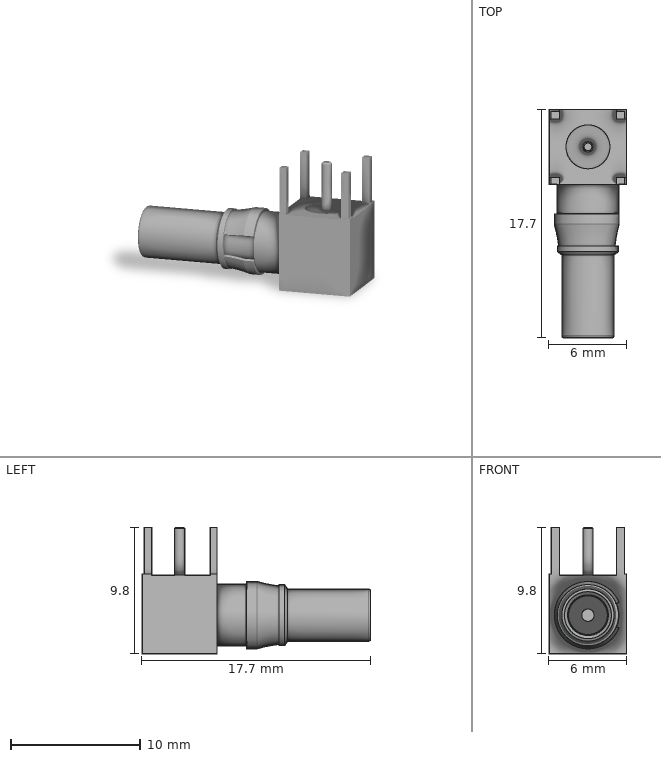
import cadquery as cq
import math


body_width = 6.0
body_depth = 5.8
body_height = 6.1
overall_height = 9.8
front_y = -body_depth / 2
top_recess_diameter = 3.4
top_recess_depth = 0.1

pad_height = 0.1
post_width = 0.65
post_side_inset = 0.15
rear_post_depth = 0.6
rear_post_inset = 0.15
front_post_depth = 0.53

board_pin_diameter = 0.8
board_pin_chamfer = 0.1

barrel_axis_z = 3.0
barrel_length = 11.9
neck_radius = 4.8 / 2
neck_end = 2.25
tube_radius = 4.05 / 2
collar_radius = 4.74 / 2
collar_start = 4.8
collar_width = 0.42
collar_chamfer_width = 0.25
rim_fillet = 0.18

sleeve_gap = 0.04
sleeve_start = neck_end + sleeve_gap
sleeve_straight = 0.8
sleeve_outer_radius = 5.22 / 2
sleeve_inner_radius = collar_radius
sleeve_tip_radius = 2.27
sleeve_sag = 0.04
sleeve_slot_angle = 45.0

mouth_radius = 1.82
step_radius = 1.58
step_depth = 0.35
bore_radius = 3.0 / 2
taper_end_depth = 0.68
bore_depth = 6.4
contact_radius = 0.96 / 2
contact_recess = 1.15


def box(x_min, x_max, y_min, y_max, z_min, z_max):
    """Axis-aligned block between the given limits."""
    size = (x_max - x_min, y_max - y_min, z_max - z_min)
    return cq.Workplane("XY").box(*size, centered=False).translate((x_min, y_min, z_min))


def revolve_on_barrel(profile):
    """Turn a (radius, distance) profile about the barrel axis, ahead of the front face."""
    turned = profile.close().revolve(360, (0, 0), (0, 1))
    return turned.rotate((0, 0, 0), (0, 0, 1), 180).translate((0, front_y, barrel_axis_z))


def make_body():
    half_width = body_width / 2
    body = box(-half_width, half_width, front_y, -front_y, 0, body_height)
    recess = cq.Workplane("XY", origin=(0, 0, body_height - top_recess_depth))
    return body.cut(recess.circle(top_recess_diameter / 2).extrude(top_recess_depth))


def make_corner_posts():
    half_width = body_width / 2
    post_outer_x = half_width - post_side_inset
    post_inner_x = post_outer_x - post_width
    rear_y = -front_y
    rear_post_y = rear_y - rear_post_inset
    pad_top = body_height + pad_height

    rear_inner_y = rear_post_y - rear_post_depth
    front_inner_y = front_y + front_post_depth
    right_side = box(post_inner_x, half_width, rear_inner_y, rear_y, body_height, pad_top)
    right_side = right_side.union(
        box(post_inner_x, post_outer_x, rear_inner_y, rear_post_y, body_height, overall_height)
    )
    right_side = right_side.union(
        box(post_inner_x, half_width, front_y, front_inner_y, body_height, pad_top)
    )
    right_side = right_side.union(
        box(post_inner_x, post_outer_x, front_y, front_inner_y, body_height, overall_height)
    )
    return right_side.union(right_side.mirror("YZ"))


def make_board_pin():
    foot_z = body_height - top_recess_depth
    pin = cq.Workplane("XY", origin=(0, 0, foot_z)).circle(board_pin_diameter / 2)
    return pin.extrude(overall_height - foot_z).faces(">Z").chamfer(board_pin_chamfer)


def make_barrel():
    collar_end = collar_start + collar_width
    fillet_mid = rim_fillet * (1 - math.sqrt(0.5))
    profile = (
        cq.Workplane("XY")
        .lineTo(neck_radius, 0)
        .lineTo(neck_radius, neck_end)
        .lineTo(tube_radius, neck_end)
        .lineTo(tube_radius, collar_start)
        .lineTo(collar_radius, collar_start)
        .lineTo(collar_radius, collar_end)
        .lineTo(tube_radius, collar_end + collar_chamfer_width)
        .lineTo(tube_radius, barrel_length - rim_fillet)
        .threePointArc(
            (tube_radius - fillet_mid, barrel_length - fillet_mid),
            (tube_radius - rim_fillet, barrel_length),
        )
        .lineTo(0, barrel_length)
    )
    return revolve_on_barrel(profile)


def make_socket():
    """Space inside the barrel around the centre contact."""
    floor = barrel_length - bore_depth
    profile = (
        cq.Workplane("XY")
        .moveTo(contact_radius, floor)
        .lineTo(bore_radius, floor)
        .lineTo(bore_radius, barrel_length - taper_end_depth)
        .lineTo(step_radius, barrel_length - step_depth)
        .lineTo(mouth_radius, barrel_length)
        .lineTo(0, barrel_length)
        .lineTo(0, barrel_length - contact_recess)
        .lineTo(contact_radius, barrel_length - contact_recess)
    )
    return revolve_on_barrel(profile)


def make_sleeve():
    taper_start = sleeve_start + sleeve_straight
    taper_mid = (taper_start + collar_start) / 2
    outer_mid = (sleeve_outer_radius + sleeve_tip_radius) / 2 - sleeve_sag
    inner_mid = (sleeve_inner_radius + tube_radius) / 2 - sleeve_sag
    profile = (
        cq.Workplane("XY")
        .moveTo(sleeve_inner_radius, sleeve_start)
        .lineTo(sleeve_outer_radius, sleeve_start)
        .lineTo(sleeve_outer_radius, taper_start)
        .threePointArc((outer_mid, taper_mid), (sleeve_tip_radius, collar_start))
        .lineTo(tube_radius, collar_start)
        .threePointArc((inner_mid, taper_mid), (sleeve_inner_radius, taper_start))
    )
    slot_reach = 2 * sleeve_outer_radius
    slot_half_height = slot_reach * math.tan(math.radians(sleeve_slot_angle / 2))
    slot = (
        cq.Workplane("XZ", origin=(0, front_y, barrel_axis_z))
        .polyline([(0, 0), (slot_reach, -slot_half_height), (slot_reach, slot_half_height)])
        .close()
        .extrude(collar_start)
    )
    return revolve_on_barrel(profile).cut(slot)


result = (
    make_body()
    .union(make_corner_posts())
    .union(make_board_pin())
    .union(make_barrel().cut(make_socket()))
    .union(make_sleeve())
)